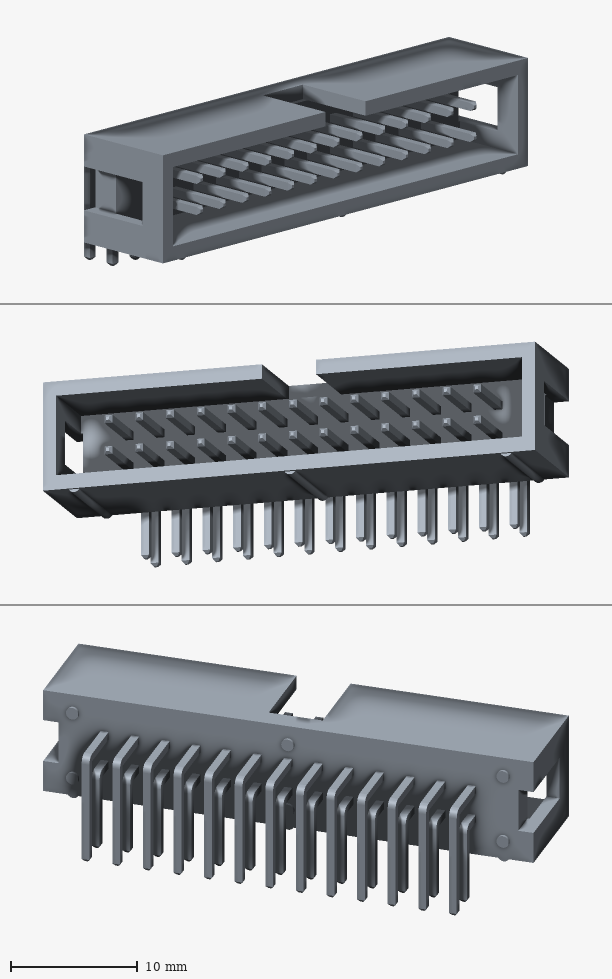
import cadquery as cq


overall_depth = 13.55
overall_height = 12.1

body_length = 40.7
body_depth = 8.8
body_height = 8.83
base_depth = 2.3
end_wall = 1.1
side_wall = 1.2

key_width = 4.47
key_start_x = 1.85

latch_height = 3.6
latch_end_x = 6.5
latch_recess = 1.25

standoff_diameter = 1.0
standoff_height = 0.25
standoff_spacing_y = 17.85
standoff_spacing_z = 5.7
rib_length = 8.5
rib_drop = 0.25

pins_per_row = 13
pin_row_span = 30.45
pitch = pin_row_span / (pins_per_row - 1)
pin_width = 0.65
bend_radius = pin_width
pin_front_x = 8.0
first_tail_x = -1.9
last_tail_outer_x = body_depth - overall_depth
tail_bottom_z = body_height / 2 - overall_height
tip_length = 0.25
tip_width = 0.25


def box(x_range, y_range, z_range):
    """Axis-aligned box between the given limits."""
    sizes = [high - low for low, high in (x_range, y_range, z_range)]
    corner = (x_range[0], y_range[0], z_range[0])
    return cq.Workplane("XY").box(*sizes, centered=False).translate(corner)


def make_housing():
    """Shroud with its mating cavity, keying slot and latch openings."""
    half_length = body_length / 2
    half_height = body_height / 2
    cavity_y = half_length - end_wall
    cavity_z = half_height - side_wall
    housing = box((0, body_depth), (-half_length, half_length), (-half_height, half_height))
    cavity = box((base_depth, body_depth), (-cavity_y, cavity_y), (-cavity_z, cavity_z))
    key_slot = box((key_start_x, body_depth), (-key_width / 2, key_width / 2), (cavity_z, half_height))
    housing = housing.cut(cavity).cut(key_slot)

    latch_z = (-latch_height / 2, latch_height / 2)
    recess_y = half_length - latch_recess
    for y_range in ((-half_length, -recess_y), (recess_y, half_length)):
        housing = housing.cut(box((0, latch_end_x), y_range, latch_z))
    return housing


def make_standoffs():
    """Six short round standoffs on the rear face."""
    return (
        cq.Workplane("YZ", origin=(-standoff_height, 0, 0))
        .rarray(standoff_spacing_y, standoff_spacing_z, 3, 2)
        .circle(standoff_diameter / 2)
        .extrude(standoff_height + base_depth / 2)
    )


def make_ribs():
    """Round ribs along X, partly sunk into the bottom wall."""
    rib_z = -body_height / 2 - rib_drop + standoff_diameter / 2
    return (
        cq.Workplane("YZ", origin=(0, 0, rib_z))
        .rarray(standoff_spacing_y, 0.4, 3, 1)
        .circle(standoff_diameter / 2)
        .extrude(rib_length)
    )


def make_tip(start, direction):
    """Square tapered pin end that narrows along the given direction."""
    plane = cq.Plane(origin=start, xDir=(0, 1, 0), normal=direction)
    return (
        cq.Workplane(plane)
        .rect(pin_width, pin_width)
        .workplane(offset=tip_length)
        .rect(tip_width, tip_width)
        .loft(ruled=True)
    )


def make_pin(tail_x, arm_z):
    """Right-angle pin with its tail centred on tail_x and its arm centred on arm_z."""
    half = pin_width / 2
    arm_end_x = pin_front_x - tip_length
    tail_end_z = tail_bottom_z + tip_length
    arm = box((tail_x - half, arm_end_x), (-half, half), (arm_z - half, arm_z + half))
    tail = box((tail_x - half, tail_x + half), (-half, half), (tail_end_z, arm_z + half))
    bent = arm.union(tail).edges("|Y and <X").edges(">Z").fillet(bend_radius)
    front_tip = make_tip((arm_end_x, 0, arm_z), (1, 0, 0))
    tail_tip = make_tip((tail_x, 0, tail_end_z), (0, 0, -1))
    return bent.union(front_tip).union(tail_tip)


result = make_housing().union(make_standoffs()).union(make_ribs())

lower_pin = make_pin(first_tail_x, -pitch / 2)
upper_pin = make_pin(last_tail_outer_x + pin_width / 2, pitch / 2)
for index in range(pins_per_row):
    pin_y = (index - (pins_per_row - 1) / 2) * pitch
    for pin in (lower_pin, upper_pin):
        result = result.union(pin.translate((0, pin_y, 0)))